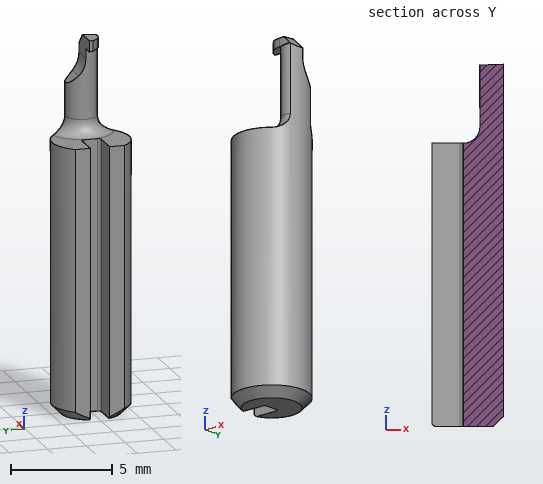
import cadquery as cq
import math

shank_radius = 2.0
shank_height = 14.0
flat_x = -1.55
bottom_chamfer = 0.5
slot_width = 1.0
slot_floor_x = 0.0
slot_corner_radius = 0.15

total_height = 19.0
neck_x = 1.62
neck_radius = 0.81
flare_radius = 0.8

relief_start_z = 17.93
relief_radius = 1.3
relief_angle = math.radians(43)

tip_x = 0.2
tip_clearance_corner = (0.25, -0.2)
arc_start = (0.55, -0.5)
arc_middle = (0.79, -0.635)
arc_end = (1.07, -0.7)
heel = (1.95, -0.8)
head_bottom = 18.42
clearance_angle = 5
back_bevel_x = 1.4


def round_bar(height):
    """Bar on the Z axis, its seam turned to -X where the flat removes it."""
    return cq.Workplane("XY").circle(shank_radius).extrude(height).rotate((0, 0, 0), (0, 0, 1), 180)


def make_flat():
    return (
        cq.Workplane("XY")
        .box(shank_radius, 2 * shank_radius, total_height, centered=(False, True, False))
        .translate((flat_x - shank_radius, 0, 0))
    )


def make_slot():
    length = slot_floor_x + shank_radius
    return (
        cq.Workplane("XY")
        .box(length, slot_width, shank_height, centered=(False, True, False))
        .translate((-shank_radius, 0, 0))
        .edges("|Z and >X")
        .fillet(slot_corner_radius)
    )


def make_neck_surround():
    """Ring around the neck: a turned space with a concave flare at its foot."""
    mid_offset = flare_radius * (1 - math.sqrt(0.5))
    ring_radius = 3 * shank_radius
    profile = (
        cq.Workplane("XZ")
        .moveTo(neck_radius + flare_radius, shank_height)
        .threePointArc(
            (neck_radius + mid_offset, shank_height + mid_offset),
            (neck_radius, shank_height + flare_radius),
        )
        .lineTo(neck_radius, total_height)
        .lineTo(ring_radius, total_height)
        .lineTo(ring_radius, shank_height)
        .close()
    )
    return profile.revolve(360, (0, 0), (0, 1)).translate((neck_x, 0, 0))


def make_neck_end():
    """Space above the neck; its tilted floor lies in the underside of the head."""
    size = 2 * shank_radius
    return (
        cq.Workplane("XY")
        .box(size, size, shank_radius, centered=(True, True, False))
        .rotate((0, 0, 0), (1, 0, 0), -clearance_angle)
        .translate((0, 0, head_bottom))
    )


def make_relief():
    """Material removed on the +Y side of the neck."""
    arc_y = relief_radius * (1 - math.cos(relief_angle))
    arc_z = relief_start_z - relief_radius * math.sin(relief_angle)
    half_angle = relief_angle / 2
    mid_y = relief_radius * (1 - math.cos(half_angle))
    mid_z = relief_start_z - relief_radius * math.sin(half_angle)
    runout_y = shank_radius
    runout_z = arc_z - (runout_y - arc_y) / math.tan(relief_angle)
    return (
        cq.Workplane("YZ")
        .moveTo(0, total_height)
        .lineTo(0, relief_start_z)
        .threePointArc((mid_y, mid_z), (arc_y, arc_z))
        .lineTo(runout_y, runout_z)
        .lineTo(runout_y, total_height)
        .close()
        .extrude(shank_radius)
    )


def make_head():
    """Plan outline above the tilted underside, which rises towards -Y."""
    outline = (
        cq.Workplane("XY")
        .workplane(offset=head_bottom)
        .moveTo(tip_x, 0)
        .lineTo(*tip_clearance_corner)
        .lineTo(*arc_start)
        .threePointArc(arc_middle, arc_end)
        .lineTo(*heel)
        .lineTo(shank_radius, 0)
        .close()
        .extrude(total_height - head_bottom)
    )

    return outline.intersect(make_neck_end()).intersect(round_bar(total_height))


def make_space_above_head():
    """Top face and 45 degree back bevel, both tilted to fall away towards -Y."""
    far_x = 2 * shank_radius
    far_z = total_height + shank_radius
    bevel_drop = far_x - back_bevel_x
    return (
        cq.Workplane("XZ")
        .polyline([
            (0, total_height),
            (back_bevel_x, total_height),
            (far_x, total_height - bevel_drop),
            (far_x, far_z),
            (0, far_z),
        ])
        .close()
        .extrude(shank_radius, both=True)
        .rotate((0, 0, total_height), (1, 0, total_height), clearance_angle)
    )


bar = round_bar(total_height).faces("<Z").chamfer(bottom_chamfer)
body = bar.cut(make_flat()).cut(make_slot()).cut(make_neck_surround())
body = body.cut(make_neck_end()).cut(make_relief())
result = body.union(make_head()).cut(make_space_above_head())